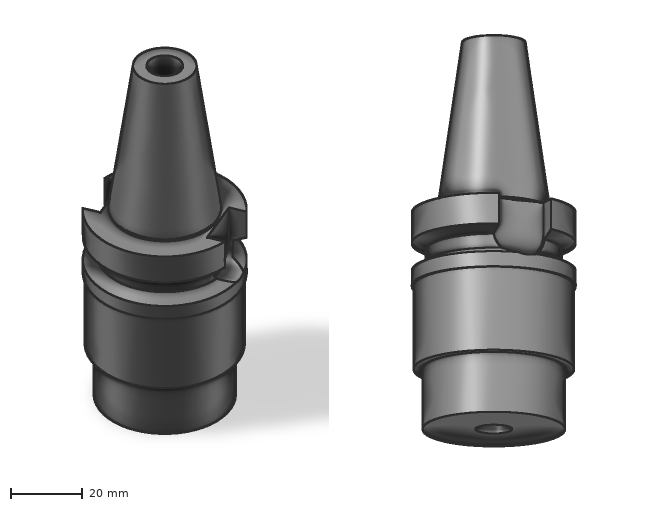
import cadquery as cq

total_height = 111.7
nose_top = 17.3
body_top = 41.3
lower_rim_top = 45.7
groove_bottom = 47.7
groove_top = 51.7
upper_rim_bottom = 53.7
flange_top = 62.6
taper_base = 63.4

nose_diameter = 40.0
body_diameter = 45.0
flange_diameter = 46.0
groove_diameter = 38.2
taper_base_diameter = 31.7
neck_diameter = 31.1
taper_tip_diameter = 17.9
bore_diameter = 10.2

slot_width = 16.0
slot_bottom = 45.3
slot_floor_distance = 16.2


def make_holder():
    """Revolve the stepped nose, grooved flange and taper about Z."""
    diameter_and_height = [
        (nose_diameter, 0),
        (nose_diameter, nose_top),
        (body_diameter, nose_top),
        (body_diameter, body_top),
        (flange_diameter, body_top),
        (flange_diameter, lower_rim_top),
        (groove_diameter, groove_bottom),
        (groove_diameter, groove_top),
        (flange_diameter, upper_rim_bottom),
        (flange_diameter, flange_top),
        (neck_diameter, flange_top),
        (neck_diameter, taper_base),
        (taper_base_diameter, taper_base),
        (taper_tip_diameter, total_height),
    ]
    outline = [(0, 0)]
    outline += [(diameter / 2, height) for diameter, height in diameter_and_height]
    outline += [(0, total_height)]
    return cq.Workplane("XZ").polyline(outline).close().revolve(360, (0, 0), (0, 1))


def make_slot_cutter(side):
    """Round-bottomed drive slot, open at the top and on the given X side (+1 or -1)."""
    half_width = slot_width / 2
    arc_center = slot_bottom + half_width
    slot_depth = flange_diameter / 2 - slot_floor_distance
    return (
        cq.Workplane("YZ", origin=(side * slot_floor_distance, 0, 0))
        .moveTo(-half_width, flange_top)
        .lineTo(-half_width, arc_center)
        .threePointArc((0, slot_bottom), (half_width, arc_center))
        .lineTo(half_width, flange_top)
        .close()
        .extrude(side * slot_depth)
    )


bore = cq.Workplane("XY").circle(bore_diameter / 2).extrude(total_height)

result = make_holder().cut(bore)
for side in (-1, 1):
    result = result.cut(make_slot_cutter(side))